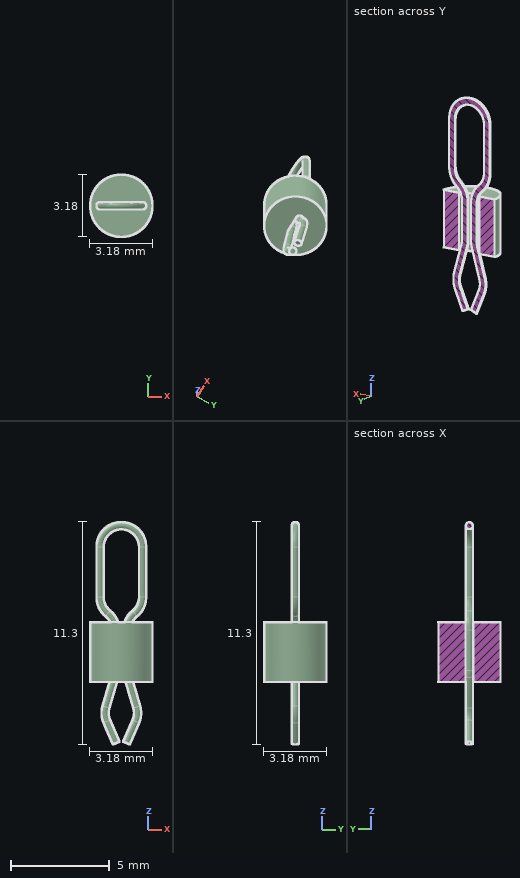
import cadquery as cq
import math

BEAD_DIAMETER = 3.18
BEAD_HEIGHT = 3.05
SLOT_LENGTH = 1.24

WIRE_DIAMETER = 0.38
LOOP_WIDTH = 2.54
LOOP_HEIGHT = 5.08
LOOP_STRAIGHT = 2.54
TAIL_DROP = 3.17
BEND_RADIUS = (LOOP_WIDTH - WIRE_DIAMETER) / 2

VERTICAL = 0.0
NECK_SLOPE = 51.0
SPLAY_SLOPE = -16.4
TIP_SLOPE = 23.5

SHANK_LENGTH = 2.04
SPLAY_LENGTH = 1.62


def run_end(start, slope, length):
    """Point reached by running down from start along the given slope."""
    angle = math.radians(slope)
    return (start[0] - length * math.sin(angle), start[1] - length * math.cos(angle))


def bend_end(start, slope, new_slope):
    """Point reached by bending from one slope to another at the bend radius."""
    half_turn = math.radians(abs(new_slope - slope)) / 2
    chord = 2 * BEND_RADIUS * math.sin(half_turn)
    return run_end(start, (slope + new_slope) / 2, chord)


def leg_pieces(top):
    """Centre-line pieces of the right leg, top to tip: 2 points are a line, 3 an arc."""
    pieces = []
    point = top
    slope = VERTICAL

    def add_run(length):
        nonlocal point
        end = run_end(point, slope, length)
        pieces.append((point, end))
        point = end

    def add_bend(new_slope):
        nonlocal point, slope
        middle = bend_end(point, slope, (slope + new_slope) / 2)
        end = bend_end(point, slope, new_slope)
        pieces.append((point, middle, end))
        point = end
        slope = new_slope

    add_run(LOOP_STRAIGHT)
    add_bend(NECK_SLOPE)
    add_bend(VERTICAL)
    add_run(SHANK_LENGTH)
    add_bend(SPLAY_SLOPE)
    add_run(SPLAY_LENGTH)
    add_bend(TIP_SLOPE)
    tip_angle = math.radians(TIP_SLOPE)
    tip_height = -TAIL_DROP + WIRE_DIAMETER / 2 * math.sin(tip_angle)
    add_run((point[1] - tip_height) / math.cos(tip_angle))
    return pieces


def make_wire():
    """Round wire swept from the left tip, over the loop, to the right tip."""
    arc_height = BEAD_HEIGHT + LOOP_HEIGHT - LOOP_WIDTH / 2
    loop_right = (BEND_RADIUS, arc_height)
    loop_left = (-BEND_RADIUS, arc_height)
    loop_top = (0, arc_height + BEND_RADIUS)

    right_leg = leg_pieces(loop_right)
    left_leg = [[(-x, z) for x, z in reversed(piece)] for piece in reversed(right_leg)]
    pieces = left_leg + [(loop_left, loop_top, loop_right)] + right_leg

    left_tip = pieces[0][0]
    path = cq.Workplane("XZ").moveTo(*left_tip)
    for piece in pieces:
        if len(piece) == 2:
            path = path.lineTo(*piece[1])
        else:
            path = path.threePointArc(*piece[1:])

    tip_angle = math.radians(TIP_SLOPE)
    section_plane = cq.Plane(
        origin=(left_tip[0], 0, left_tip[1]),
        xDir=(0, 1, 0),
        normal=(-math.sin(tip_angle), 0, math.cos(tip_angle)),
    )
    return cq.Workplane(section_plane).circle(WIRE_DIAMETER / 2).sweep(path)


def make_bead():
    """Cylinder with a round-ended slot right through it, as wide as the wire."""
    cylinder = cq.Workplane("XY").circle(BEAD_DIAMETER / 2).extrude(BEAD_HEIGHT)
    slot = cq.Workplane("XY").slot2D(SLOT_LENGTH, WIRE_DIAMETER).extrude(BEAD_HEIGHT)
    return cylinder.cut(slot)


wire = make_wire()
bead = make_bead()

result = cq.Compound.makeCompound([bead.solids().val(), wire.solids().val()])